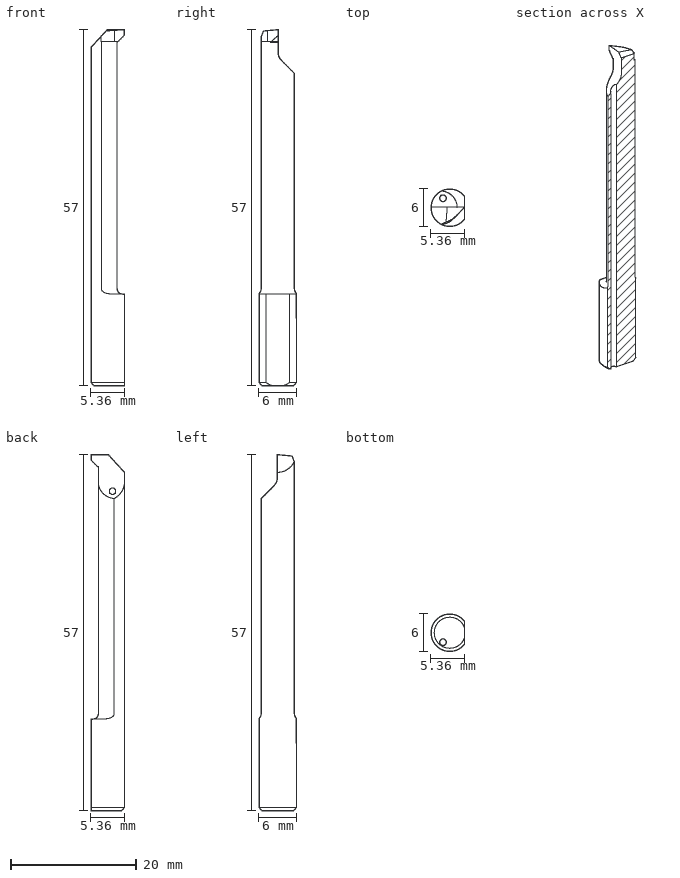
import cadquery as cq
import math

length = 57.0
shank_diameter = 5.995
shank_radius = shank_diameter / 2
flat_x = 2.36
base_chamfer = 0.5
shank_height = 14.7

neck_radius = 2.7
neck_axis_x = -1.5
neck_fillet = 0.85

head_bottom = 55.05
tip_x = 2.35
tip_edge_height = 0.9
rake_y = 0.085
relief_corner = (0.75, -1.65)
relief_knee = (-0.3, -2.15)
top_relief_drop = 0.3
back_bevel_top_x = -0.4
back_bevel_height = 2.85

rake_depth = 3.7
clearance_radius = 1.75
clearance_angle = math.radians(45)

coolant_diameter = 1.0
coolant_x = -1.1
coolant_y = 1.51

margin = 2.85


def make_round_bar():
    bar = cq.Workplane("XY").circle(shank_radius).extrude(length)
    return bar.faces("<Z").chamfer(base_chamfer)


def make_shank_envelope():
    """Block below the shoulder, bounded by the flat on +X."""
    width = flat_x + shank_radius
    return cq.Workplane("XY").box(
        width, shank_diameter, shank_height, centered=(False, True, False)
    ).translate((-shank_radius, 0, 0))


def make_neck_envelope():
    """Neck cylinder flaring out through a fillet into the shoulder."""
    fillet_top = shank_height + neck_fillet
    fillet_outer = neck_radius + neck_fillet
    arc_reach = neck_fillet * (1 - math.sqrt(0.5))
    return (
        cq.Workplane("XZ")
        .lineTo(fillet_outer, 0)
        .lineTo(fillet_outer, shank_height)
        .threePointArc(
            (neck_radius + arc_reach, shank_height + arc_reach),
            (neck_radius, fillet_top),
        )
        .lineTo(neck_radius, head_bottom)
        .lineTo(0, head_bottom)
        .close()
        .revolve(360, (0, 0, 0), (0, 1, 0))
        .translate((neck_axis_x, 0, 0))
        .intersect(cq.Workplane("XY").box(
            2 * shank_diameter, 2 * shank_diameter, length, centered=(True, True, False)
        ).translate((0, 0, shank_height)))
    )


def make_head():
    """Faceted cutting head whose tip overhangs the neck with a sloped underside."""
    neck_right_x = neck_axis_x + neck_radius
    underside_drop = tip_x - neck_right_x
    tip_bottom = length - tip_edge_height
    plan = (
        cq.Workplane("XY")
        .workplane(offset=head_bottom - margin)
        .moveTo(tip_x, shank_radius)
        .lineTo(tip_x, rake_y)
        .lineTo(*relief_corner)
        .lineTo(*relief_knee)
        .lineTo(neck_axis_x, -neck_radius)
        .lineTo(neck_axis_x, -shank_radius)
        .lineTo(-shank_radius, -shank_radius)
        .lineTo(-shank_radius, shank_radius)
        .close()
        .extrude(length - head_bottom + margin)
    )
    side = (
        cq.Workplane("XZ")
        .moveTo(-shank_radius, head_bottom)
        .lineTo(neck_right_x, head_bottom)
        .lineTo(neck_right_x, tip_bottom - underside_drop)
        .lineTo(tip_x, tip_bottom)
        .lineTo(tip_x, length)
        .lineTo(-shank_radius, length)
        .close()
        .extrude(shank_radius, both=True)
    )
    return plan.intersect(side)


def make_back_bevel():
    """Wedge removed from the -X side of the tip."""
    return (
        cq.Workplane("XZ")
        .moveTo(-shank_radius, length - back_bevel_height)
        .lineTo(back_bevel_top_x, length)
        .lineTo(-shank_radius, length)
        .close()
        .extrude(shank_radius, both=True)
    )


def make_top_relief():
    """Thin wedge that lets the top face fall away from the cutting edge."""
    return (
        cq.Workplane("YZ")
        .moveTo(rake_y, length)
        .lineTo(-shank_radius, length)
        .lineTo(-shank_radius, length - top_relief_drop)
        .close()
        .extrude(shank_diameter, both=True)
    )


def make_chip_clearance():
    """Volume removed behind the rake face: flat, run-out arc, then slope."""
    arc_top = length - rake_depth

    def arc_point(angle):
        return (
            rake_y + clearance_radius * (1 - math.cos(angle)),
            arc_top - clearance_radius * math.sin(angle),
        )

    slope_start_y, slope_start_z = arc_point(clearance_angle)
    slope_end_y = shank_radius + margin
    slope_end_z = slope_start_z - (slope_end_y - slope_start_y) / math.tan(clearance_angle)
    return (
        cq.Workplane("YZ")
        .moveTo(rake_y, length)
        .lineTo(rake_y, arc_top)
        .threePointArc(arc_point(clearance_angle / 2), (slope_start_y, slope_start_z))
        .lineTo(slope_end_y, slope_end_z)
        .lineTo(slope_end_y, length)
        .close()
        .extrude(shank_diameter, both=True)
    )


def make_coolant_hole():
    return (
        cq.Workplane("XY")
        .center(coolant_x, coolant_y)
        .circle(coolant_diameter / 2)
        .extrude(length)
    )


envelope = make_shank_envelope().union(make_neck_envelope()).union(make_head())
body = make_round_bar().intersect(envelope)
for make_cutter in (make_back_bevel, make_top_relief, make_chip_clearance, make_coolant_hole):
    body = body.cut(make_cutter())
result = cq.Workplane("XY").newObject([body.solids().val()])